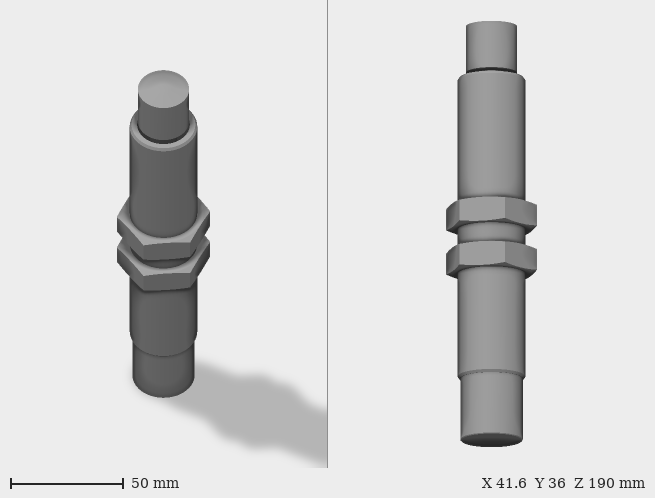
import cadquery as cq
import math

total_height = 190.0

barrel_diameter = 30.0
barrel_rim_diameter = 28.3
barrel_bottom = 28.0
barrel_top = 165.1
barrel_chamfer_width = (barrel_diameter - barrel_rim_diameter) / 2
barrel_chamfer_height = 1.1
tail_diameter = 27.7
tail_chamfer = 0.4

recess_diameter = 23.4
recess_depth = 22.8

rod_diameter = 12.0
cap_diameter = 22.8
cap_bottom = 167.4
cap_cone_height = 1.5

nut_corner_diameter = 41.6
nut_thickness = 11.0
nut_chamfer_diameter = 35.5
nut_chamfer_angle = 15.0
lower_nut_bottom = 75.8
nut_pitch = 20.1
nut_count = 2


def cylinder(diameter, bottom, top):
    return cq.Workplane("XY").workplane(offset=bottom).circle(diameter / 2).extrude(top - bottom)


def make_absorber():
    """Housing, rod and cap as one body."""
    tail = cylinder(tail_diameter, 0, barrel_bottom).faces("<Z").chamfer(tail_chamfer)
    barrel = cylinder(barrel_diameter, barrel_bottom, barrel_top)
    barrel = barrel.faces("<Z or >Z").chamfer(barrel_chamfer_height, barrel_chamfer_width)
    recess_floor = barrel_top - recess_depth
    barrel = barrel.cut(cylinder(recess_diameter, recess_floor, barrel_top))
    rod = cylinder(rod_diameter, recess_floor, cap_bottom)
    return tail.union(barrel).union(rod).union(make_cap())


def make_cap():
    """Cylinder with a shallow cone on top, revolved from its half section."""
    radius = cap_diameter / 2
    return (
        cq.Workplane("XZ")
        .moveTo(0, cap_bottom)
        .lineTo(radius, cap_bottom)
        .lineTo(radius, total_height - cap_cone_height)
        .lineTo(0, total_height)
        .close()
        .revolve(360, (0, 0), (0, 1))
    )


def make_nut(bottom):
    """Hexagon nut with corners along X and both ends chamfered."""
    corner_radius = nut_corner_diameter / 2
    chamfer_radius = nut_chamfer_diameter / 2
    corner_drop = (corner_radius - chamfer_radius) * math.tan(math.radians(nut_chamfer_angle))
    top = bottom + nut_thickness
    chamfer_envelope = (
        cq.Workplane("XZ")
        .moveTo(0, bottom)
        .lineTo(chamfer_radius, bottom)
        .lineTo(corner_radius, bottom + corner_drop)
        .lineTo(corner_radius, top - corner_drop)
        .lineTo(chamfer_radius, top)
        .lineTo(0, top)
        .close()
        .revolve(360, (0, 0), (0, 1))
    )
    hexagon = (
        cq.Workplane("XY")
        .workplane(offset=bottom)
        .polygon(6, nut_corner_diameter)
        .extrude(nut_thickness)
    )
    return hexagon.intersect(chamfer_envelope).cut(cylinder(barrel_diameter, bottom, top))


absorber = make_absorber()
nuts = [make_nut(lower_nut_bottom + index * nut_pitch) for index in range(nut_count)]

result = cq.Compound.makeCompound([absorber.val(), *[nut.val() for nut in nuts]])